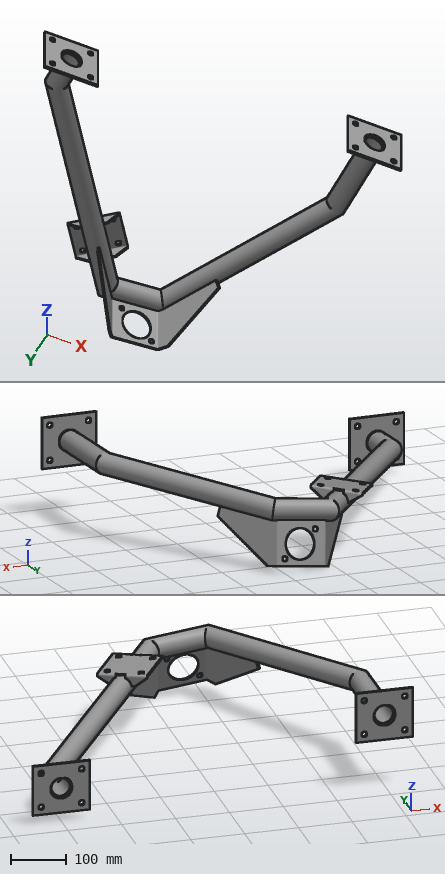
import cadquery as cq
import math


FOOT_WIDTH = 105.0
FOOT_HEIGHT = 95.0
FOOT_THICKNESS = 4.0
FOOT_HOLE_DIAMETER = 10.0
FOOT_HOLE_MARGIN = 15.0
FOOT_SPACING = 705 - FOOT_WIDTH
FOOT_RISE = 72.0

TUBE_DIAMETER = 40.0
TUBE_WALL = 3.0
TUBE_GAP = 1.5
TUBE_RADIUS = TUBE_DIAMETER / 2
TILT = math.degrees(math.atan2(FOOT_RISE, FOOT_SPACING))
FOOT_DISTANCE = math.hypot(FOOT_SPACING, FOOT_RISE)
TUBE_START_Y = FOOT_THICKNESS + TUBE_GAP

LEFT_BEND = cq.Vector(0, 62.0, 0)
LEFT_CORNER = cq.Vector(304.0, 483.0, 0)
RIGHT_CORNER = cq.Vector(412.0, LEFT_CORNER.y, 0)
RIGHT_BEND = cq.Vector(FOOT_DISTANCE, 164.0, 0)
TUBE_PATH = [
    cq.Vector(0, TUBE_START_Y, 0),
    LEFT_BEND,
    LEFT_CORNER,
    RIGHT_CORNER,
    RIGHT_BEND,
    cq.Vector(FOOT_DISTANCE, TUBE_START_Y, 0),
]

SHEET = 3.0
INNER_BEND = 1.5
OUTER_BEND = INNER_BEND + SHEET

SADDLE_WIDTH = 95.0
SADDLE_LENGTH = 88.0
SADDLE_FROM_BEND = 409.0
SADDLE_OFFSET = 3.5
SADDLE_HOLE_DIAMETER = 10.0
SADDLE_HOLES_ACROSS = 65.0
SADDLE_HOLES_ALONG = 60.0
EAR_TIP = 23.0
EAR_TIP_HEIGHT = 1.5
RELIEF_WIDTH = 18.0

GUSSET_LEAN = 14.4
GUSSET_BOTTOM_Y = 515.5
GUSSET_BOTTOM_DEPTH = 96.5
GUSSET_LEFT_FOLD = 314.0
GUSSET_RIGHT_FOLD = 407.5
GUSSET_HEIGHT = 113.0
GUSSET_INNER_BEND = 3.5
GUSSET_REAR_Y = 386.0
WING_LENGTH = 155.0
WING_TIP = 22.5
WING_EDGE_ANGLE = 39.5
BORE_DIAMETER = 56.5
BORE_X = 364.0
BORE_HEIGHT = 40.0
BOLT_DIAMETER = 9.0
BOLT_OFFSET_X = 29.5
BOLT_OFFSET_HEIGHT = 27.0


def tilt(body):
    return body.rotate((0, 0, 0), (0, 1, 0), -TILT)


def swept_rod(diameter):
    start = cq.Plane(origin=TUBE_PATH[0], xDir=(1, 0, 0), normal=(0, 1, 0))
    path = cq.Workplane("XY").polyline(TUBE_PATH)
    return cq.Workplane(start).circle(diameter / 2).sweep(path, transition="right")


def make_foot(x, z):
    plane = cq.Plane(origin=(x, 0, z), xDir=(1, 0, 0), normal=(0, -1, 0))
    return (
        cq.Workplane(plane)
        .rect(FOOT_WIDTH, FOOT_HEIGHT)
        .extrude(-FOOT_THICKNESS)
        .faces("<Y")
        .workplane(origin=(x, 0, z))
        .hole(TUBE_DIAMETER)
        .faces("<Y")
        .workplane(origin=(x, 0, z))
        .rect(FOOT_WIDTH - 2 * FOOT_HOLE_MARGIN, FOOT_HEIGHT - 2 * FOOT_HOLE_MARGIN, forConstruction=True)
        .vertices()
        .hole(FOOT_HOLE_DIAMETER)
    )


def make_saddle(rod):
    """Plate lying on the left leg, with both ends folded down into ears that hug the tube."""
    along = (LEFT_CORNER - LEFT_BEND).normalized()
    across = along.cross(cq.Vector(0, 0, 1))
    center = LEFT_BEND + along * SADDLE_FROM_BEND + across * SADDLE_OFFSET
    frame = cq.Plane(origin=center, xDir=across, normal=(0, 0, 1))
    top = TUBE_RADIUS + SHEET
    bend_bottom = top - OUTER_BEND
    half_width = SADDLE_WIDTH / 2
    flat_length = SADDLE_LENGTH - 2 * OUTER_BEND

    def block(width, length, low, high):
        return cq.Workplane("XY").box(width, length, high - low).translate((0, 0, (low + high) / 2))

    channel = block(SADDLE_WIDTH, SADDLE_LENGTH, 0, top).edges("|X and >Z").fillet(OUTER_BEND)
    hollow = block(SADDLE_WIDTH, SADDLE_LENGTH - 2 * SHEET, 0, TUBE_RADIUS)
    channel = channel.cut(hollow.edges("|X and >Z").fillet(INNER_BEND))

    ear_outline = (
        cq.Workplane("XZ")
        .polyline([
            (-half_width, top),
            (-half_width, bend_bottom),
            (-EAR_TIP, EAR_TIP_HEIGHT),
            (EAR_TIP, EAR_TIP_HEIGHT),
            (half_width, bend_bottom),
            (half_width, top),
        ])
        .close()
        .extrude(SADDLE_LENGTH / 2, both=True)
    )
    relief = block(RELIEF_WIDTH, SADDLE_LENGTH, 0, top).cut(block(RELIEF_WIDTH, flat_length, 0, top))
    relief = relief.translate((-SADDLE_OFFSET, 0, 0))
    holes = (
        cq.Workplane("XY")
        .rect(SADDLE_HOLES_ACROSS, SADDLE_HOLES_ALONG, forConstruction=True)
        .vertices()
        .circle(SADDLE_HOLE_DIAMETER / 2)
        .extrude(top)
    )
    saddle = channel.intersect(ear_outline).cut(relief).cut(holes)
    return cq.Workplane(saddle.val().moved(cq.Location(frame))).cut(rod)


def wing_angle(start, end):
    """Fold angle that makes a leaning wing run parallel to the tube leg from start to end."""
    leg = end - start
    return math.atan(abs(leg.y / leg.x) * math.cos(math.radians(GUSSET_LEAN)))


def make_gusset(rod):
    """Leaning front sheet with a bore, and a wing folded back under each leg."""
    lean = math.radians(GUSSET_LEAN)
    base = cq.Plane(
        origin=(0, GUSSET_BOTTOM_Y, -GUSSET_BOTTOM_DEPTH),
        xDir=(1, 0, 0),
        normal=(0, -math.sin(lean), math.cos(lean)),
    )
    wings = [
        (GUSSET_LEFT_FOLD, -1, wing_angle(LEFT_BEND, LEFT_CORNER)),
        (GUSSET_RIGHT_FOLD, 1, wing_angle(RIGHT_BEND, RIGHT_CORNER)),
    ]

    outer = []
    inner = []
    for fold, side, angle in wings:
        end_x = fold + side * WING_LENGTH * math.cos(angle)
        end_y = -WING_LENGTH * math.sin(angle)
        inner_end = (end_x - side * SHEET * math.sin(angle), end_y - SHEET * math.cos(angle))
        inner_fold = (fold - side * SHEET * math.tan(angle / 2), -SHEET)
        outer += [(fold, 0), (end_x, end_y)][::side]
        inner += [inner_fold, inner_end][::side]
    gusset = cq.Workplane(base).polyline(outer + inner[::-1]).close().extrude(GUSSET_HEIGHT)

    def fold_edge(x, y):
        return cq.selectors.NearestToPointSelector(base.toWorldCoords((x, y, GUSSET_HEIGHT / 2)))

    for fold, side, angle in wings:
        inner_x = fold - side * SHEET * math.tan(angle / 2)
        gusset = gusset.edges(fold_edge(fold, 0)).fillet(GUSSET_INNER_BEND + SHEET)
        gusset = gusset.edges(fold_edge(inner_x, -SHEET)).fillet(GUSSET_INNER_BEND)

    edge_rise = (WING_LENGTH - WING_TIP) * math.tan(math.radians(WING_EDGE_ANGLE))
    for fold, side, angle in wings:
        direction = base.xDir * (side * math.cos(angle)) - base.yDir * math.sin(angle)
        wing_plane = cq.Plane(
            origin=base.toWorldCoords((fold, 0, 0)),
            xDir=direction,
            normal=direction.cross(base.zDir),
        )
        waste = (
            cq.Workplane(wing_plane)
            .polyline([(WING_TIP, 0), (WING_LENGTH, edge_rise), (WING_LENGTH, 0)])
            .close()
            .extrude(2 * SHEET, both=True)
        )
        gusset = gusset.cut(waste)

    behind_rear = cq.Workplane("XY").box(
        FOOT_DISTANCE, GUSSET_REAR_Y, 2 * GUSSET_HEIGHT, centered=(False, False, True)
    )
    gusset = gusset.cut(behind_rear)

    front = cq.Workplane(cq.Plane(base.origin, xDir=base.xDir, normal=-base.yDir))
    bore = front.center(BORE_X, BORE_HEIGHT).circle(BORE_DIAMETER / 2).extrude(2 * SHEET, both=True)
    bolts = (
        front.pushPoints([
            (BORE_X - BOLT_OFFSET_X, BORE_HEIGHT + BOLT_OFFSET_HEIGHT),
            (BORE_X + BOLT_OFFSET_X, BORE_HEIGHT - BOLT_OFFSET_HEIGHT),
        ])
        .circle(BOLT_DIAMETER / 2)
        .extrude(2 * SHEET, both=True)
    )
    return gusset.cut(bore).cut(bolts).cut(rod)


solid_rod = swept_rod(TUBE_DIAMETER)
tube = tilt(solid_rod.cut(swept_rod(TUBE_DIAMETER - 2 * TUBE_WALL)))
saddle = tilt(make_saddle(solid_rod))
gusset = tilt(make_gusset(solid_rod))
feet = [make_foot(x, z) for x, z in [(0, 0), (FOOT_SPACING, FOOT_RISE)]]

result = cq.Compound.makeCompound([
    tube.val(),
    saddle.val(),
    gusset.val(),
    *[foot.val() for foot in feet],
])